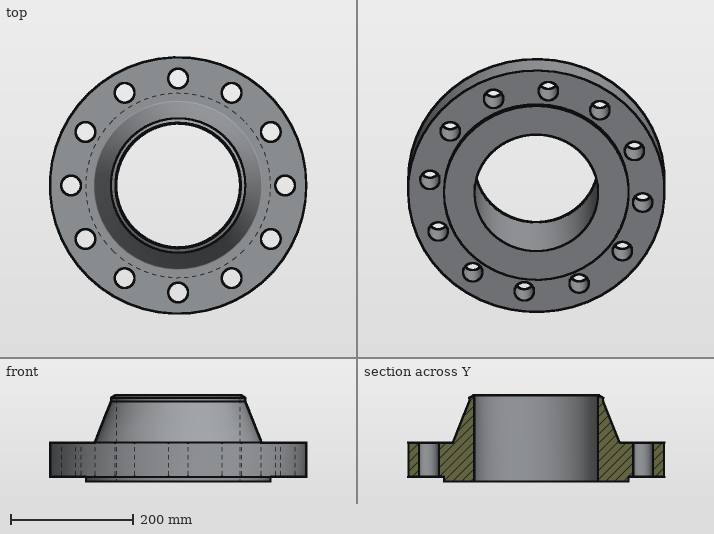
import cadquery as cq
import math

total_height = 141.0

flange_radius = 209.5
flange_thickness = 55.7
face_radius = 151.0
face_height = 8.0

hub_radius = 136.5
hub_fillet = 2.5
collar_radius = 109.8
cone_top_from_end = 10.0
bore_radius = 101.0
land_width = 1.5
bevel_angle = 30.0

bolt_count = 12
bolt_circle_radius = 174.7
bolt_hole_diameter = 32.0

flange_top = face_height + flange_thickness
cone_top = total_height - cone_top_from_end
land_radius = bore_radius + land_width
bevel_height = (collar_radius - land_radius) * math.tan(math.radians(bevel_angle))


def turned_body():
    """Half section (radius, height) revolved about Z, with the bore left open."""
    section = [
        (bore_radius, 0),
        (face_radius, 0),
        (face_radius, face_height),
        (flange_radius, face_height),
        (flange_radius, flange_top),
        (hub_radius, flange_top),
        (collar_radius, cone_top),
        (collar_radius, total_height - bevel_height),
        (land_radius, total_height),
        (bore_radius, total_height),
    ]
    return cq.Workplane("XZ").polyline(section).close().revolve(360, (0, 0, 0), (0, 1, 0))


def round_hub_root(body):
    """Fillet the corner where the cone meets the flange top."""
    at_root = cq.selectors.BoxSelector(
        (-flange_radius, -flange_radius, flange_top - hub_fillet),
        (flange_radius, flange_radius, flange_top + hub_fillet),
    )
    root_edges = body.edges(at_root).edges("%CIRCLE").edges(cq.selectors.RadiusNthSelector(0))
    return root_edges.fillet(hub_fillet)


def bolt_holes():
    """Cylinders for the ring of through holes, one of them on the X axis."""
    return (
        cq.Workplane("XY")
        .polarArray(bolt_circle_radius, 0, 360, bolt_count)
        .circle(bolt_hole_diameter / 2)
        .extrude(flange_top)
    )


result = round_hub_root(turned_body()).cut(bolt_holes())